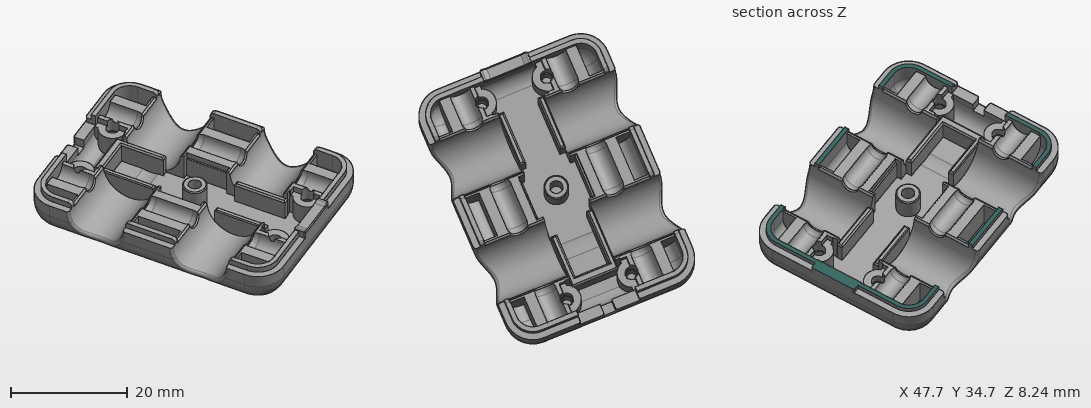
import cadquery as cq
import math

LENGTH = 47.65
WIDTH = 34.69
SHOULDER_Z = 6.88
RIM_Z = 8.0
CORNER_RADIUS = 5.0
BOTTOM_FILLET = 4.5
WALL = 2.0
FLOOR_Z = 2.0
LIP_INSET = 1.15

CHANNEL_X = 10.0
CHANNEL_RADIUS = 5.2
CHANNEL_AXIS_Z = 7.0
CHANNEL_MOUTH_FILLET = 0.5
CHANNEL_LIP_FILLET = 0.7
CRADLE_HALF_WIDTH = 5.9
CRADLE_INNER_Y = 4.25
LEDGE_EDGE_CHAMFER = 0.35
RIM_REACH = 0.25

LEDGE_Z = CHANNEL_AXIS_Z
LEDGE_INNER_Y = 5.1
LEDGE_OUTER_Y = 12.73
LEDGE_STEP_WIDTH = 0.32
TROUGH_Y = 8.91
TROUGH_RADIUS = 1.87
TROUGH_END_OFFSET = 6.46

POST_TOP_Z = 5.87
CORNER_POST_X = 18.85
CORNER_POST_Y = 6.04
CORNER_POST_DIAMETER = 5.0
CORNER_HOLE_DIAMETER = 1.85
CORNER_HOLE_MOUTH_DIAMETER = 2.25
CORNER_MOUTH_DEPTH = 1.5
POST_RECESS_X = 16.07
POST_RECESS_Y = 6.23
CENTER_POST_X = 0.2
CENTER_POST_DIAMETER = 4.25
CENTER_HOLE_DIAMETER = 2.25
CENTER_POST_CHAMFER = 0.2

PARTITION_Z = POST_TOP_Z
PARTITION_INNER_Y = 3.17
PARTITION_OUTER_Y = 4.25
PARTITION_CHAMFER = 0.3
PARTITION_OUTER_CHAMFER = 0.2
RIGHT_PARTITION_START_X = 6.2
RIGHT_PARTITION_END_X = 16.0
BOX_OUTER_X = -17.2
BOX_INNER_X = -15.65
BOX_BACK_END_X = -7.55
BOX_FRONT_END_X = -5.7

NOTCH_HALF_WIDTH = 5.45
NOTCH_Z = 5.88
NOTCH_BEVEL_WIDTH = 0.38
NOTCH_BEVEL_DEPTH = 0.2
SLOT_HALF_WIDTH = 1.1
SLOT_Z = 4.2
SLOT_OVERRUN = 0.05
SLOT_BEVEL = 0.25

TAB_HALF_WIDTH = 4.4
TAB_INNER_X = 21.74
TAB_CHAMFER = 0.2
RIDGE_Z = 8.24
RIDGE_FLAT_Y = 4.0
RIDGE_FOOT_Y = 3.18

HALF_LENGTH = LENGTH / 2
HALF_WIDTH = WIDTH / 2
CAVITY_HALF_LENGTH = HALF_LENGTH - WALL
SIDES = (-1, 1)


def block(x0, x1, y0, y1, z0, z1):
    """Box between the given limits; the limits of an axis may come in either order."""
    size = (abs(x1 - x0), abs(y1 - y0), abs(z1 - z0))
    center = ((x0 + x1) / 2, (y0 + y1) / 2, (z0 + z1) / 2)
    return cq.Workplane("XY").box(*size).translate(center)


def rounded_prism(inset, z0, z1):
    """Prism whose outline is the shell outline moved inwards by inset."""
    return (
        cq.Workplane("XY")
        .workplane(offset=z0)
        .rect(LENGTH - 2 * inset, WIDTH - 2 * inset)
        .extrude(z1 - z0)
        .edges("|Z")
        .fillet(CORNER_RADIUS - inset)
    )


def cylinder(x, y, z0, z1, diameter):
    return cq.Workplane("XY").workplane(offset=z0).center(x, y).circle(diameter / 2).extrude(z1 - z0)


def channel_cutter(x, y0, y1):
    """Half-round channel bottom that opens straight upwards."""
    barrel = (
        cq.Workplane("XZ", origin=(x, y0, CHANNEL_AXIS_Z)).circle(CHANNEL_RADIUS).extrude(y0 - y1)
    )
    opening = block(x - CHANNEL_RADIUS, x + CHANNEL_RADIUS, y0, y1, CHANNEL_AXIS_Z, RIM_Z)
    return barrel.union(opening)


def channel_mouths(solid):
    """Edges where the channels break through the front and back walls."""
    mouths = []
    for edge in solid.edges().vals():
        center = edge.Center()
        beyond_wall = abs(center.y) > HALF_WIDTH - BOTTOM_FILLET
        in_channel = abs(abs(center.x) - CHANNEL_X) < CHANNEL_RADIUS + RIM_REACH
        if beyond_wall and in_channel and 0 < center.z < RIM_Z:
            mouths.append(edge)
    return solid.newObject(mouths)


def outer_form():
    """Solid outer form with channels, flared channel mouths and a stepped rim."""
    form = rounded_prism(0, 0, RIM_Z).faces("<Z").edges().fillet(BOTTOM_FILLET)
    for x in (-CHANNEL_X, CHANNEL_X):
        for side in SIDES:
            form = form.cut(channel_cutter(x, side * CRADLE_INNER_Y, side * HALF_WIDTH))
    form = channel_mouths(form).fillet(CHANNEL_MOUTH_FILLET)
    rim_step = rounded_prism(0, SHOULDER_Z, RIM_Z).cut(rounded_prism(LIP_INSET, SHOULDER_Z, RIM_Z))
    return form.cut(rim_step)


def lip_ends(solid):
    """Top corners of the lip beside the channels."""
    corners = []
    for edge in solid.edges("|Y").vals():
        center = edge.Center()
        at_channel = abs(abs(abs(center.x) - CHANNEL_X) - CHANNEL_RADIUS) < RIM_REACH
        if at_channel and abs(center.z - RIM_Z) < RIM_REACH:
            corners.append(edge)
    return solid.newObject(corners)


def cavity():
    """Inner space with a rounded floor edge."""
    return rounded_prism(WALL, FLOOR_Z, RIM_Z).faces("<Z").edges().fillet(BOTTOM_FILLET - WALL)


def trough_cutter(x0, x1, y):
    """Horizontal rod with hemispherical ends centred at x0 and x1."""
    diagonal = TROUGH_RADIUS * math.sqrt(0.5)
    return (
        cq.Workplane("XY", origin=(0, y, LEDGE_Z))
        .moveTo(x0 - TROUGH_RADIUS, 0)
        .threePointArc((x0 - diagonal, diagonal), (x0, TROUGH_RADIUS))
        .lineTo(x1, TROUGH_RADIUS)
        .threePointArc((x1 + diagonal, diagonal), (x1 + TROUGH_RADIUS, 0))
        .close()
        .revolve(360, (0, 0, 0), (1, 0, 0))
    )


def trough_spans():
    """X limits of the hemisphere centres in the three compartments."""
    inner = CHANNEL_X - TROUGH_END_OFFSET
    outer = CHANNEL_X + TROUGH_END_OFFSET
    return ((-LENGTH, -outer), (-inner, inner), (outer, LENGTH))


def ledge(side):
    """Bar along X across the whole cavity, stepped beside the central bay."""
    bar = block(
        -HALF_LENGTH, HALF_LENGTH, side * LEDGE_INNER_Y, side * LEDGE_OUTER_Y, 0, LEDGE_Z
    )
    step_y = LEDGE_INNER_Y + LEDGE_STEP_WIDTH
    return bar.cut(
        block(-CHANNEL_X, CHANNEL_X, side * LEDGE_INNER_Y, side * step_y, PARTITION_Z, LEDGE_Z)
    )


def post_recess(end, side):
    """Lowered corner of a ledge at the height of the corner posts."""
    return block(
        end * POST_RECESS_X, end * HALF_LENGTH,
        side * LEDGE_INNER_Y, side * POST_RECESS_Y, POST_TOP_Z, LEDGE_Z,
    )


def channel_wall(x, side):
    """Block that encloses one half of a channel."""
    return block(
        x - CRADLE_HALF_WIDTH, x + CRADLE_HALF_WIDTH,
        side * CRADLE_INNER_Y, side * HALF_WIDTH, 0, LEDGE_Z,
    )


def channel_rims(solid):
    """Top edges of the channel walls, including the rims of the trough openings."""
    rims = []
    for edge in solid.edges().vals():
        center = edge.Center()
        from_axis = abs(abs(center.x) - CHANNEL_X)
        at_height = LEDGE_Z - TROUGH_RADIUS < center.z < LEDGE_Z + RIM_REACH
        near_wall = abs(from_axis - CHANNEL_RADIUS) < RIM_REACH
        if near_wall and at_height and CRADLE_INNER_Y + RIM_REACH < abs(center.y) < HALF_WIDTH - WALL:
            rims.append(edge)
    return solid.newObject(rims)


def hollow():
    """Space to clear inside the outer form, leaving ledges, channel walls and corner posts."""
    kept = ledge(-1).union(ledge(1))
    for side in SIDES:
        for end in SIDES:
            kept = kept.union(channel_wall(end * CHANNEL_X, side))
            kept = kept.cut(post_recess(end, side))
            kept = kept.union(corner_post(end, side))
    for side in SIDES:
        for x0, x1 in trough_spans():
            kept = kept.cut(trough_cutter(x0, x1, side * TROUGH_Y))
    return cavity().cut(kept)


def corner_post(end, side):
    return cylinder(
        end * CORNER_POST_X, side * CORNER_POST_Y, FLOOR_Z / 2, POST_TOP_Z, CORNER_POST_DIAMETER
    )


def corner_hole(end, side):
    """Screw hole in a corner post, wider where it passes through the ledge."""
    x = end * CORNER_POST_X
    y = side * CORNER_POST_Y
    mouth = cylinder(x, y, POST_TOP_Z - CORNER_MOUTH_DEPTH, LEDGE_Z, CORNER_HOLE_MOUTH_DIAMETER)
    return cylinder(x, y, FLOOR_Z, LEDGE_Z, CORNER_HOLE_DIAMETER).union(mouth)


def top_edges(wall, outer):
    """Top edges of a partition: those facing the channels, or all the others."""
    limit = PARTITION_OUTER_Y - 1.5 * PARTITION_OUTER_CHAMFER
    edges = wall.faces(">Z").edges().vals()
    return wall.newObject([edge for edge in edges if (abs(edge.Center().y) > limit) == outer])


def chamfer_partition(wall):
    """Bevel the top edges, less on the sides that face the channels."""
    wall = top_edges(wall, outer=True).chamfer(PARTITION_OUTER_CHAMFER)
    return top_edges(wall, outer=False).chamfer(PARTITION_CHAMFER)


def partitions():
    box = block(
        BOX_OUTER_X, BOX_FRONT_END_X, -PARTITION_OUTER_Y, PARTITION_OUTER_Y, FLOOR_Z / 2, PARTITION_Z
    )
    box = box.cut(block(
        BOX_INNER_X, BOX_FRONT_END_X, -PARTITION_INNER_Y, PARTITION_INNER_Y, 0, PARTITION_Z
    ))
    box = box.cut(block(BOX_BACK_END_X, BOX_FRONT_END_X, 0, PARTITION_OUTER_Y, 0, PARTITION_Z))
    walls = chamfer_partition(box)
    for side in SIDES:
        wall = block(
            RIGHT_PARTITION_START_X, RIGHT_PARTITION_END_X,
            side * PARTITION_INNER_Y, side * PARTITION_OUTER_Y, FLOOR_Z / 2, PARTITION_Z,
        )
        walls = walls.union(chamfer_partition(wall))
    return walls


def add_center_post(body):
    post = cylinder(CENTER_POST_X, 0, FLOOR_Z / 2, POST_TOP_Z, CENTER_POST_DIAMETER)
    post = post.faces(">Z").edges().chamfer(CENTER_POST_CHAMFER)
    hole = cylinder(CENTER_POST_X, 0, FLOOR_Z, POST_TOP_Z, CENTER_HOLE_DIAMETER)
    return body.union(post).cut(hole)


def cut_corner_holes(body):
    for end in SIDES:
        for side in SIDES:
            body = body.cut(corner_hole(end, side))
    return body


def cut_notch_and_slot(body):
    notch = (
        cq.Workplane("XY", origin=(-HALF_LENGTH, 0, NOTCH_Z))
        .polyline([
            (0, NOTCH_HALF_WIDTH + NOTCH_BEVEL_WIDTH),
            (NOTCH_BEVEL_DEPTH, NOTCH_HALF_WIDTH),
            (WALL, NOTCH_HALF_WIDTH),
            (WALL, -NOTCH_HALF_WIDTH),
            (NOTCH_BEVEL_DEPTH, -NOTCH_HALF_WIDTH),
            (0, -NOTCH_HALF_WIDTH - NOTCH_BEVEL_WIDTH),
        ])
        .close()
        .extrude(RIM_Z - NOTCH_Z)
    )
    slot = block(
        -HALF_LENGTH, -CAVITY_HALF_LENGTH + SLOT_OVERRUN, -SLOT_HALF_WIDTH, SLOT_HALF_WIDTH, SLOT_Z, NOTCH_Z
    )
    mouth_bottom = SLOT_Z - SLOT_BEVEL
    mouth = (
        cq.Workplane("YZ", origin=(-HALF_LENGTH, 0, (mouth_bottom + RIM_Z) / 2))
        .rect(2 * (SLOT_HALF_WIDTH + SLOT_BEVEL), RIM_Z - mouth_bottom)
        .extrude(SLOT_BEVEL, taper=45)
    )
    return body.cut(notch).cut(slot).cut(mouth)


def tab():
    """Tongue on the +X wall with a ridge at each end."""
    profile = (
        cq.Workplane("YZ", origin=(TAB_INNER_X, 0, 0))
        .polyline([
            (-TAB_HALF_WIDTH, LEDGE_Z),
            (-TAB_HALF_WIDTH, RIDGE_Z),
            (-RIDGE_FLAT_Y, RIDGE_Z),
            (-RIDGE_FOOT_Y, RIM_Z),
            (RIDGE_FOOT_Y, RIM_Z),
            (RIDGE_FLAT_Y, RIDGE_Z),
            (TAB_HALF_WIDTH, RIDGE_Z),
            (TAB_HALF_WIDTH, LEDGE_Z),
        ])
        .close()
        .extrude(HALF_LENGTH - TAB_INNER_X)
    )
    base = block(
        CAVITY_HALF_LENGTH, HALF_LENGTH, -TAB_HALF_WIDTH, TAB_HALF_WIDTH, SHOULDER_Z, LEDGE_Z
    )
    return profile.union(base).clean().faces(">X").edges("not <Z").chamfer(TAB_CHAMFER)


body = outer_form().cut(hollow())
body = channel_rims(body).chamfer(LEDGE_EDGE_CHAMFER)
body = lip_ends(body).fillet(CHANNEL_LIP_FILLET)
body = body.cut(channel_cutter(-CHANNEL_X, -CRADLE_INNER_Y, CRADLE_INNER_Y))
body = body.union(partitions())
body = add_center_post(body)
body = cut_corner_holes(body)
body = cut_notch_and_slot(body)
result = body.union(tab()).clean()